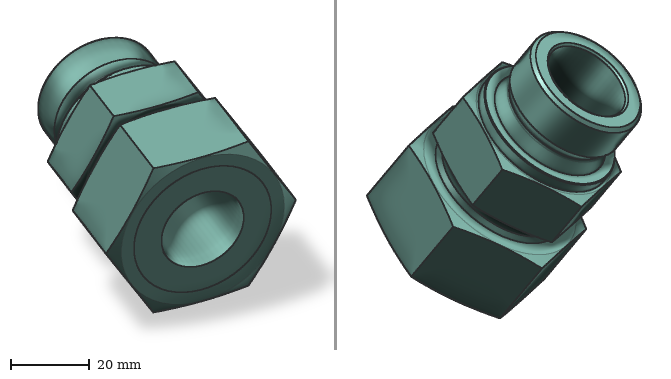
import cadquery as cq
import math


THREAD_END_X = 10.8
RUNOUT_END_X = 13.0
SEAL_START_X = 13.65
SEAL_CONE_X = 14.3
COLLAR_X = 18.0
HEX_X = 21.0
HEX_LENGTH = 16.0
NECK_RUNOUT_X = 40.4
NUT_X = 42.0
LENGTH = 64.0
NUT_LENGTH = LENGTH - NUT_X

BORE_RADIUS = 11.5
STUD_RADIUS = 16.6
UNDERCUT_RADIUS = 15.05
SEAL_SEAT_RADIUS = 14.4
COLLAR_RADIUS = 19.55
NECK_RADIUS = 18.3
SPIGOT_RADIUS = 19.2

HEX_SIDES = 6
BODY_HEX_FLATS = 41.0
NUT_HEX_FLATS = 46.0
HEX_CHAMFER_ANGLE = 15.0
HEX_CHAMFER_INSET = 0.2

STUD_CHAMFER = 1.0
BORE_CHAMFER = 0.6
COLLAR_CHAMFER = 0.25
NECK_FILLET = 1.0
RUNOUT_ANGLE = math.atan2(STUD_RADIUS - UNDERCUT_RADIUS, RUNOUT_END_X - THREAD_END_X)
SEAL_CONE_ANGLE = math.atan2(STUD_RADIUS - UNDERCUT_RADIUS, COLLAR_X - SEAL_CONE_X)


def revolve_about_x(profile):
    """Turn a closed profile, drawn as (x, radius), about the X axis."""
    return profile.close().revolve(360, (0, 0, 0), (1, 0, 0))


def blend_rise(span, angle):
    """Radius gained by an arc that leaves the axis direction and turns by angle over span."""
    return span * math.tan(angle / 2)


def blend_middle(span, angle):
    """Axial offset and radius gain of the middle of such an arc."""
    arc_radius = span / math.sin(angle)
    return arc_radius * math.sin(angle / 2), arc_radius * (1 - math.cos(angle / 2))


def chamfered_hex(start_x, length, flats):
    """Hexagonal prism along X with both ends turned to a shallow cone."""
    corner_radius = flats / 2 / math.cos(math.pi / HEX_SIDES)
    face_radius = flats / 2 - HEX_CHAMFER_INSET
    setback = (corner_radius - face_radius) * math.tan(math.radians(HEX_CHAMFER_ANGLE))
    end_x = start_x + length
    prism = (
        cq.Workplane("YZ", origin=(start_x, 0, 0))
        .polygon(HEX_SIDES, 2 * corner_radius)
        .extrude(length)
    )
    envelope = revolve_about_x(
        cq.Workplane("XY")
        .moveTo(start_x, 0)
        .lineTo(start_x, face_radius)
        .lineTo(start_x + setback, corner_radius)
        .lineTo(end_x - setback, corner_radius)
        .lineTo(end_x, face_radius)
        .lineTo(end_x, 0)
    )
    return prism.intersect(envelope)


def make_body():
    """Stud, collar, hexagon and spigot in one piece, bored through."""
    span = SEAL_START_X - RUNOUT_END_X
    mid_dx, mid_rise = blend_middle(span, RUNOUT_ANGLE)
    runout_end_radius = UNDERCUT_RADIUS + blend_rise(span, RUNOUT_ANGLE)
    hex_end_x = HEX_X + HEX_LENGTH
    fillet_mid = NECK_FILLET * (1 - math.cos(math.radians(45)))
    turned = revolve_about_x(
        cq.Workplane("XY")
        .moveTo(0, BORE_RADIUS + BORE_CHAMFER)
        .lineTo(0, STUD_RADIUS - STUD_CHAMFER)
        .lineTo(STUD_CHAMFER, STUD_RADIUS)
        .lineTo(THREAD_END_X, STUD_RADIUS)
        .lineTo(RUNOUT_END_X, runout_end_radius)
        .threePointArc(
            (SEAL_START_X - mid_dx, UNDERCUT_RADIUS + mid_rise),
            (SEAL_START_X, UNDERCUT_RADIUS),
        )
        .lineTo(SEAL_START_X, SEAL_SEAT_RADIUS)
        .lineTo(COLLAR_X, SEAL_SEAT_RADIUS)
        .lineTo(COLLAR_X, COLLAR_RADIUS - COLLAR_CHAMFER)
        .lineTo(COLLAR_X + COLLAR_CHAMFER, COLLAR_RADIUS)
        .lineTo(hex_end_x, COLLAR_RADIUS)
        .lineTo(hex_end_x, NECK_RADIUS + NECK_FILLET)
        .threePointArc(
            (hex_end_x + fillet_mid, NECK_RADIUS + fillet_mid),
            (hex_end_x + NECK_FILLET, NECK_RADIUS),
        )
        .lineTo(NECK_RUNOUT_X, NECK_RADIUS)
        .lineTo(NUT_X, SPIGOT_RADIUS)
        .lineTo(LENGTH, SPIGOT_RADIUS)
        .lineTo(LENGTH, BORE_RADIUS)
        .lineTo(BORE_CHAMFER, BORE_RADIUS)
    )
    bore = cq.Workplane("YZ", origin=(HEX_X, 0, 0)).circle(BORE_RADIUS).extrude(HEX_LENGTH)
    hexagon = chamfered_hex(HEX_X, HEX_LENGTH, BODY_HEX_FLATS).cut(bore)
    return turned.union(hexagon)


def make_seal():
    """Conical sealing ring seated in the undercut, resting against the collar."""
    span = SEAL_CONE_X - SEAL_START_X
    mid_dx, mid_rise = blend_middle(span, SEAL_CONE_ANGLE)
    cone_start_radius = UNDERCUT_RADIUS + blend_rise(span, SEAL_CONE_ANGLE)
    return revolve_about_x(
        cq.Workplane("XY")
        .moveTo(SEAL_START_X, SEAL_SEAT_RADIUS)
        .lineTo(SEAL_START_X, UNDERCUT_RADIUS)
        .threePointArc(
            (SEAL_START_X + mid_dx, UNDERCUT_RADIUS + mid_rise),
            (SEAL_CONE_X, cone_start_radius),
        )
        .lineTo(COLLAR_X, STUD_RADIUS)
        .lineTo(COLLAR_X, SEAL_SEAT_RADIUS)
    )


def make_nut():
    """Hexagon nut whose bore fits the spigot of the body."""
    bore = cq.Workplane("YZ", origin=(NUT_X, 0, 0)).circle(SPIGOT_RADIUS).extrude(NUT_LENGTH)
    return chamfered_hex(NUT_X, NUT_LENGTH, NUT_HEX_FLATS).cut(bore)


body = make_body()
seal = make_seal()
nut = make_nut()

result = cq.Compound.makeCompound([body.val(), seal.val(), nut.val()])